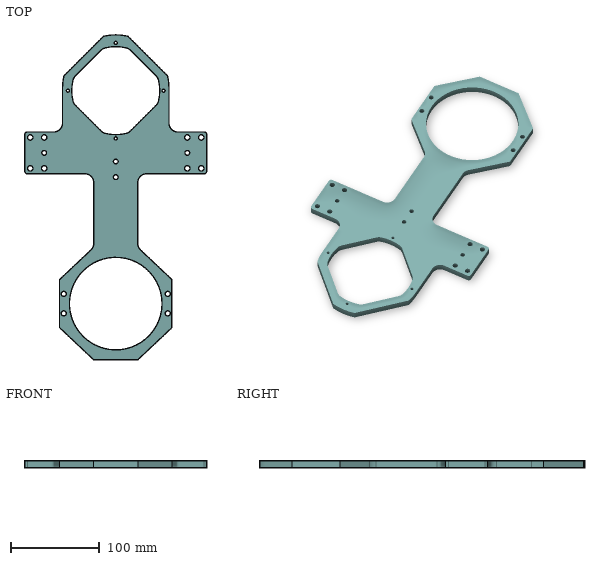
import cadquery as cq
import math

length = 366.3
thickness = 8.0

ring_y = -240.0
ring_half = 63.5
ring_flat_half = 25.0
ring_side_half = 27.0
ring_bore_radius = 52.0
ring_hole_x = 58.5
ring_hole_y = 11.0
ring_hole_diameter = 5.5

neck_half = ring_flat_half

arm_half = 102.5
arm_top_y = -46.5
arm_bottom_y = -93.8
arm_corner_radius = 3.0
inner_corner_radius = 10.0

head_radius = 60.0
head_top_y = length + ring_y - ring_half
head_y = head_top_y - head_radius
head_shoulder = 75.0

window_radius = 49.5
window_side = 62.0
window_corner_radius = 10.0
window_hole_radius = 54.0
window_hole_diameter = 3.3

arm_inner_hole_x = 80.5
arm_outer_hole_x = 96.5
arm_upper_hole_y = -52.7
arm_lower_hole_y = -87.5
arm_hole_diameter = 6.0
arm_middle_hole_diameter = 5.0
centre_hole_ys = (-80.0, -97.5)
centre_hole_diameter = 5.0


def box(half_width, bottom_y, top_y):
    """Plate centred on X between two Y positions."""
    height = top_y - bottom_y
    return (
        cq.Workplane("XY")
        .center(0, bottom_y + height / 2)
        .rect(2 * half_width, height)
        .extrude(thickness)
    )


def cylinder(radius, y=0):
    """Disc on the centre line."""
    return cq.Workplane("XY").center(0, y).circle(radius).extrude(thickness)


def diamond(half_diagonal):
    """Square plate standing on its corner at the origin."""
    side = half_diagonal * math.sqrt(2)
    return cq.Workplane("XY").rect(side, side).extrude(thickness).rotate((0, 0, 0), (0, 0, 1), 45)


def drill(part, points, diameter):
    """Cut through holes at the given points."""
    holes = cq.Workplane("XY").pushPoints(points).circle(diameter / 2).extrude(thickness)
    return part.cut(holes)


def fillet_corners(part, half_width, y, radius):
    """Round the upright edges at (+/-half_width, y)."""
    reach = 0.05
    for x in (-half_width, half_width):
        selector = cq.selectors.BoxSelector(
            (x - reach, y - reach, 0), (x + reach, y + reach, thickness)
        )
        part = part.edges("|Z").edges(selector).fillet(radius)
    return part


def make_head():
    disc = cylinder(head_radius, head_y).intersect(diamond(head_shoulder))
    return disc.union(box(head_radius, arm_bottom_y, head_y))


def make_ring():
    right_side = [
        (ring_flat_half, -ring_half),
        (ring_half, -ring_side_half),
        (ring_half, ring_side_half),
        (ring_flat_half, ring_half),
    ]
    left_side = [(-x, y) for x, y in reversed(right_side)]
    outline = cq.Workplane("XY").center(0, ring_y).polyline(right_side + left_side)
    return outline.close().extrude(thickness)


arm = box(arm_half, arm_bottom_y, arm_top_y)
neck = box(neck_half, ring_y + ring_half, arm_bottom_y)
plate = make_head().union(arm).union(neck).union(make_ring()).clean()
for corner_y in (arm_top_y, arm_bottom_y):
    plate = fillet_corners(plate, arm_half, corner_y, arm_corner_radius)
plate = fillet_corners(plate, head_radius, arm_top_y, inner_corner_radius)
plate = fillet_corners(plate, neck_half, arm_bottom_y, inner_corner_radius)
plate = fillet_corners(plate, neck_half, ring_y + ring_half, inner_corner_radius)

window = cylinder(window_radius).intersect(diamond(window_side))
window = window.edges("|Z").fillet(window_corner_radius)
plate = plate.cut(window)
plate = plate.cut(cylinder(ring_bore_radius, ring_y))

r = window_hole_radius
plate = drill(plate, [(r, 0), (0, r), (-r, 0), (0, -r)], window_hole_diameter)

arm_middle_y = (arm_upper_hole_y + arm_lower_hole_y) / 2
for side in (-1, 1):
    arm_points = [
        (side * x, y)
        for x in (arm_inner_hole_x, arm_outer_hole_x)
        for y in (arm_upper_hole_y, arm_lower_hole_y)
    ]
    ring_points = [(side * ring_hole_x, ring_y + dy) for dy in (-ring_hole_y, ring_hole_y)]
    plate = drill(plate, arm_points, arm_hole_diameter)
    plate = drill(plate, [(side * arm_inner_hole_x, arm_middle_y)], arm_middle_hole_diameter)
    plate = drill(plate, ring_points, ring_hole_diameter)

plate = drill(plate, [(0, y) for y in centre_hole_ys], centre_hole_diameter)

result = plate